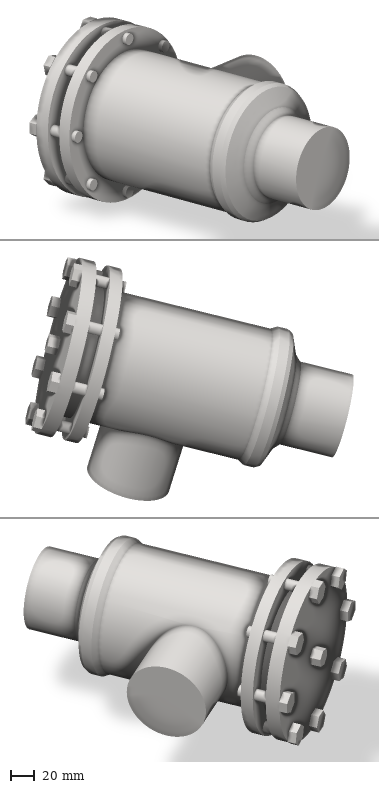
import cadquery as cq
import math


hexagon_corner_to_flat = 30.0

cover_diameter = 153.0
cover_thickness = 12.5
flange_diameter = 152.0
flange_thickness = 11.0
flange_gap = 12.0
flange_start = cover_thickness + flange_gap
flange_end = flange_start + flange_thickness

bolt_count = 8
bolt_diameter = 10.0
bolt_head_flats = 17.0
bolt_head_height = 7.2
bolt_tip_length = 4.0
overall_height = 154.0
bolt_circle_radius = (overall_height - bolt_head_flats) / 2

plug_flats = 14.3
plug_height = 9.5
plug_tilt = 10.0

overall_length = 258.5
body_diameter = 114.0
cap_diameter = 120.39
pipe_diameter = 72.1
outlet_end = overall_length - plug_height
cap_start = 172.0
cap_rim_start = 177.6
cap_rim_end = 186.2
cap_shoulder_x = 190.2
cap_shoulder_radius = 58.0
cap_neck_x = 197.2
cap_neck_radius = 41.8
outlet_start = 202.8

overall_width = 183.0
branch_x = 91.0
branch_end = overall_width - overall_height / 2


def disc(start, thickness, diameter):
    """Cylinder along X."""
    return cq.Workplane("YZ").workplane(offset=start).circle(diameter / 2).extrude(thickness)


def hex_head(flats, height, y, z, turn):
    """Hexagon standing out from the cover face; a corner points along +Y when turn is 0."""
    corner_diameter = flats / math.cos(math.radians(hexagon_corner_to_flat))
    head = cq.Workplane("YZ").polygon(6, corner_diameter).extrude(-height)
    return head.rotate((0, 0, 0), (1, 0, 0), turn).translate((0, y, z))


def make_body():
    """Body tube, reducer cap and outlet as one revolved outline."""
    body_radius = body_diameter / 2
    cap_radius = cap_diameter / 2
    pipe_radius = pipe_diameter / 2
    outline = (
        cq.Workplane("XY")
        .moveTo(0, 0)
        .lineTo(0, body_radius)
        .lineTo(cap_start, body_radius)
        .lineTo(cap_rim_start, cap_radius)
        .lineTo(cap_rim_end, cap_radius)
        .lineTo(cap_shoulder_x, cap_shoulder_radius)
        .lineTo(cap_neck_x, cap_neck_radius)
        .lineTo(outlet_start, pipe_radius)
        .lineTo(outlet_end, pipe_radius)
        .lineTo(outlet_end, 0)
        .close()
    )
    return outline.revolve(360, (0, 0, 0), (1, 0, 0))


def make_branch():
    """Side pipe from the body axis out to +Y."""
    branch = cq.Workplane("XZ").center(branch_x, 0).circle(pipe_diameter / 2)
    return branch.extrude(-branch_end)


def make_bolt(angle):
    """Bolt through cover and flange at the given angle from +Y."""
    y = bolt_circle_radius * math.cos(math.radians(angle))
    z = bolt_circle_radius * math.sin(math.radians(angle))
    flat_outward_turn = angle + hexagon_corner_to_flat
    head = hex_head(bolt_head_flats, bolt_head_height, y, z, flat_outward_turn)
    shank = disc(0, flange_end + bolt_tip_length, bolt_diameter).translate((0, y, z))
    return head.union(shank)


result = make_body()
result = result.union(make_branch())
result = result.union(disc(0, cover_thickness, cover_diameter))
result = result.union(disc(flange_start, flange_thickness, flange_diameter))
result = result.union(hex_head(plug_flats, plug_height, 0, 0, 90 - plug_tilt))
for index in range(bolt_count):
    result = result.union(make_bolt(index * 360 / bolt_count))